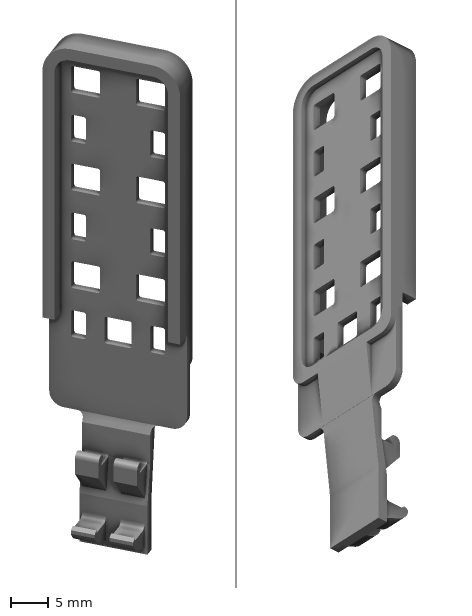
import cadquery as cq


height = 76.3
width = 19.9
plate_front = 2.05
plate_bottom = 19.2
top_radius = 4.1
bottom_radius = 2.1

rim_front = 4.5
rim_bottom = 33.95
wall_side = 1.75
wall_top = 1.75
pocket_radius = 2.3

frame_depth = 0.9
frame_bottom = 27.5

window_height = 4.1
window_wide = 4.2
window_narrow = 2.1
window_center = 4.0
window_corner_radius = 0.3
window_outer_x = 6.8
window_top_row_z = 70.2
window_pitch = 7.55
window_rows = 6

tongue_width = 9.85
tongue_front = 3.75
tongue_back = 2.2
shoulder_front = 2.75
shoulder_bottom = 17.9
front_bend_top = 13.4
front_bend_bottom = 7.5
back_bend_bottom = 8.4
root_radius = 0.9

hook_width = 3.4
hook_gap = 2.1
hook_embed_front = (tongue_front + tongue_back) / 2

upper_shelf_z = 13.4
upper_shelf_fillet = 0.45
upper_front = 6.4
upper_front_bottom = 11.9
upper_bottom = 8.5
upper_bottom_front = 3.5
lip_root_front = 5.5
lip_tip_front = 4.8
lip_tip_z = 14.5
lip_radius = 0.8
lip_top_z = 15.0

lower_shelf_z = 3.9
lower_shelf_fillet = 0.85
lower_front = 7.85
lower_bottom = 0.9
barb_front = 7.25
barb_base_front = 7.1
barb_z = 4.35
nose_top = 4.0
nose_bottom = 3.4
nose_arc_mid = (-7.2, 2.45)
nose_arc_end = (-5.95, 1.75)


def block(size_x, bottom, top, front, back=0.0):
    """Box centred on X, between two heights and two distances from the back face."""
    box = cq.Workplane("XY").box(size_x, front - back, top - bottom)
    return box.translate((0, -(front + back) / 2, (top + bottom) / 2))


def profile_plane(size_x):
    """YZ workplane from which an extrusion of size_x ends up centred on X."""
    return cq.Workplane("YZ").workplane(offset=-size_x / 2)


def make_plate():
    pocket_width = width - 2 * wall_side
    pocket_top = height - wall_top

    web = block(width, plate_bottom, rim_bottom, plate_front, frame_depth)
    frame = block(width, frame_bottom, rim_bottom, frame_depth)
    tray = block(width, rim_bottom, height, rim_front)
    web = web.edges("|Y and <Z").fillet(bottom_radius)
    frame = frame.edges("|Y and <Z").fillet(bottom_radius)
    tray = tray.edges("|Y and >Z").fillet(top_radius)

    front_pocket = block(pocket_width, rim_bottom, pocket_top, rim_front, plate_front)
    front_pocket = front_pocket.edges("|Y and >Z").fillet(pocket_radius)
    rear_pocket = block(pocket_width, frame_bottom + wall_side, pocket_top, frame_depth)
    rear_pocket = rear_pocket.edges("|Y").fillet(pocket_radius)

    return web.union(frame).union(tray).cut(front_pocket).cut(rear_pocket)


def window_cutter(size_x, x, z):
    cutter = block(size_x, z - window_height / 2, z + window_height / 2, plate_front)
    return cutter.edges("|Y").fillet(window_corner_radius).translate((x, 0, 0))


def cut_windows(body):
    for row in range(window_rows):
        z = window_top_row_z - row * window_pitch
        size_x = window_wide if row % 2 == 0 else window_narrow
        x = window_outer_x - size_x / 2
        for side in (-1, 1):
            body = body.cut(window_cutter(size_x, side * x, z))
    bottom_row_z = window_top_row_z - (window_rows - 1) * window_pitch
    return body.cut(window_cutter(window_center, 0, bottom_row_z))


def tongue_profile(size_x):
    outline = [
        (0, frame_bottom),
        (-tongue_back, back_bend_bottom),
        (-tongue_back, 0),
        (-tongue_front, 0),
        (-tongue_front, front_bend_bottom),
        (-shoulder_front, front_bend_top),
        (-shoulder_front, shoulder_bottom),
        (-plate_front, plate_bottom),
        (-plate_front, frame_bottom),
    ]
    return profile_plane(size_x).polyline(outline).close().extrude(size_x)


def make_tongue():
    """Tongue whose sides flare out with a fillet where they meet the plate."""
    half = tongue_width / 2
    flare = half + root_radius
    front_outline = (
        cq.Workplane("XZ")
        .moveTo(-half, 0)
        .lineTo(half, 0)
        .lineTo(half, plate_bottom - root_radius)
        .radiusArc((flare, plate_bottom), root_radius)
        .lineTo(half, plate_bottom)
        .lineTo(half, frame_bottom)
        .lineTo(-half, frame_bottom)
        .lineTo(-half, plate_bottom)
        .lineTo(-flare, plate_bottom)
        .radiusArc((-half, plate_bottom - root_radius), root_radius)
        .close()
        .extrude(tongue_front)
    )
    return tongue_profile(2 * flare).intersect(front_outline)


def make_upper_hook():
    fillet_top = upper_shelf_z + upper_shelf_fillet
    root_front = shoulder_front + upper_shelf_fillet
    return (
        profile_plane(hook_width)
        .moveTo(-shoulder_front, fillet_top)
        .radiusArc((-root_front, upper_shelf_z), upper_shelf_fillet)
        .lineTo(-lip_root_front, upper_shelf_z)
        .lineTo(-lip_tip_front, lip_tip_z)
        .threePointArc(
            (-(upper_front - lip_radius), lip_top_z),
            (-upper_front, lip_top_z - lip_radius),
        )
        .lineTo(-upper_front, upper_front_bottom)
        .lineTo(-upper_bottom_front, upper_bottom)
        .lineTo(-hook_embed_front, upper_bottom)
        .lineTo(-shoulder_front, front_bend_top)
        .close()
        .extrude(hook_width)
    )


def make_lower_hook():
    fillet_top = lower_shelf_z + lower_shelf_fillet
    return (
        profile_plane(hook_width)
        .moveTo(-hook_embed_front, fillet_top)
        .lineTo(-tongue_front, fillet_top)
        .radiusArc((-(tongue_front + lower_shelf_fillet), lower_shelf_z), lower_shelf_fillet)
        .lineTo(-barb_base_front, lower_shelf_z)
        .lineTo(-barb_front, barb_z)
        .lineTo(-lower_front, nose_top)
        .lineTo(-lower_front, nose_bottom)
        .threePointArc(nose_arc_mid, nose_arc_end)
        .lineTo(-tongue_front, lower_bottom)
        .lineTo(-hook_embed_front, lower_bottom)
        .close()
        .extrude(hook_width)
    )


def add_hooks(body):
    hook_x = (hook_gap + hook_width) / 2
    for hook in (make_upper_hook(), make_lower_hook()):
        for side in (-1, 1):
            body = body.union(hook.translate((side * hook_x, 0, 0)))
    return body


result = add_hooks(cut_windows(make_plate()).union(make_tongue()))